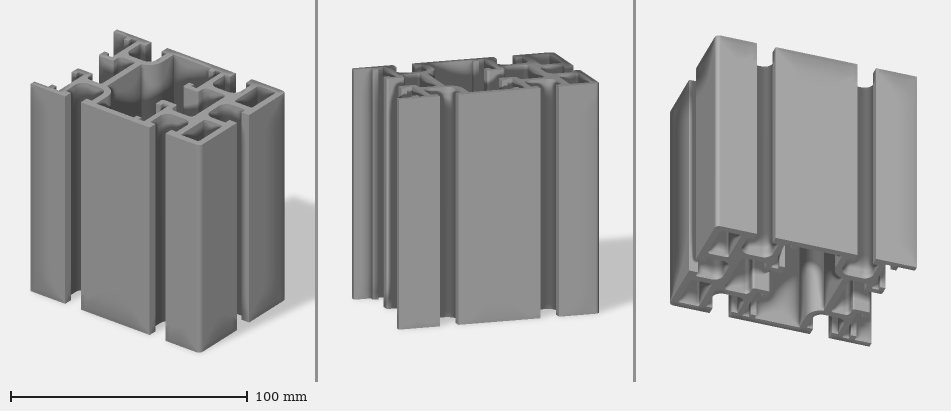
import cadquery as cq
import math

LENGTH = 90.0
WIDTH = 60.0
HEIGHT = 100.0
HALF_WIDTH = WIDTH / 2
LEFT_END = -LENGTH / 2
CORNER_RADIUS = 2.0

WALL = 3.0
LEFT_FLANGE = 2.5
CLIP_WALL = 2.5

MODULE = LENGTH / 2
SLOT_OPENING = 8.4
SLOT_CAVITY = 14.0
SLOT_LIP = 4.0
SLOT_DEPTH = 15.0
SLOT_RADIUS = 4.0
SLOT_CENTER = LEFT_END + MODULE / 2

CLIP_REACH = 5.5
CLIP_LIP = 2.5
LIP_DEPTH = 5.0
LIP_TIP = HALF_WIDTH - LIP_DEPTH
HOOK_TIP = 11.5
HOOK_OUTER = 7.0
HOOK_INNER = HOOK_OUTER + CLIP_WALL
HOOK_RADIUS = 1.0
LEFT_HEEL_RADIUS = 0.7
POCKET_RADIUS = 2.0
LEFT_FLOOR_RADIUS = 1.0

WEB_FACE = HALF_WIDTH - SLOT_DEPTH - WALL
SLOT_WALL_OUTER = SLOT_CAVITY / 2 + WALL
CENTER_WEB_OFFSET = 23.8
CENTER_WEB_LEFT = LEFT_END + CENTER_WEB_OFFSET
RIGHT_WEB_LEFT = -LEFT_END - SLOT_DEPTH - WALL

BOX_LEFT = SLOT_CENTER + MODULE + SLOT_WALL_OUTER
BOX_RIGHT = -LEFT_END - WALL
BOX_INNER = SLOT_WALL_OUTER
BOX_OUTER = HALF_WIDTH - WALL
BOX_RADIUS = 1.0


def extrude_mirrored(outline):
    """Extrude a half outline ending on Y = 0 together with its mirror image."""
    half = outline.close().extrude(HEIGHT)
    return half.union(half.mirror("XZ"))


def round_pair(solid, x, y, radius):
    """Round the upright edge at the given corner and its mirror image in Y."""
    for corner_y in (y, -y):
        edge = cq.NearestToPointSelector((x, corner_y, HEIGHT / 2))
        solid = solid.edges("|Z").edges(edge).fillet(radius)
    return solid


def t_slot(distance_to_face):
    """T-slot centred on X = 0 that opens toward +Y at the given distance."""
    floor = distance_to_face - SLOT_DEPTH
    cavity_depth = SLOT_DEPTH - SLOT_LIP
    cavity = (
        cq.Workplane("XY")
        .center(0, floor + cavity_depth / 2)
        .rect(SLOT_CAVITY, cavity_depth)
        .extrude(HEIGHT)
        .edges("|Z and <Y")
        .fillet(SLOT_RADIUS)
    )
    opening = (
        cq.Workplane("XY")
        .center(0, distance_to_face - SLOT_LIP / 2)
        .rect(SLOT_OPENING, SLOT_LIP)
        .extrude(HEIGHT)
    )
    return cavity.union(opening)


def clip_recess(outline, slot_center, flange, floor, heel_radius, floor_radius):
    """Finish a recess outline along one clip channel, its hook and the pocket behind it.

    The outline must stand on the inner flange face at the given flange thickness.
    The heel is the hook corner next to the pocket, and the floor is the far pocket wall.
    """
    flange_face = HALF_WIDTH - flange
    pocket_side = slot_center - SLOT_CAVITY / 2
    channel_end = pocket_side - CLIP_WALL
    lip_start = channel_end - CLIP_REACH
    lip_end = lip_start + CLIP_LIP
    outline = (
        outline.lineTo(lip_start, flange_face)
        .lineTo(lip_start, LIP_TIP)
        .lineTo(lip_end, LIP_TIP)
        .lineTo(lip_end, flange_face)
        .lineTo(channel_end, flange_face)
        .lineTo(channel_end, HOOK_INNER)
        .lineTo(lip_end, HOOK_INNER)
        .lineTo(lip_end, HOOK_TIP)
        .lineTo(lip_start, HOOK_TIP)
        .lineTo(lip_start, HOOK_OUTER)
        .lineTo(pocket_side, HOOK_OUTER)
        .lineTo(pocket_side, WEB_FACE)
        .lineTo(floor, WEB_FACE)
        .lineTo(floor, 0)
    )
    recess = extrude_mirrored(outline)
    recess = round_pair(recess, lip_start, HOOK_OUTER, HOOK_RADIUS)
    recess = round_pair(recess, pocket_side, HOOK_OUTER, heel_radius)
    recess = round_pair(recess, pocket_side, WEB_FACE, POCKET_RADIUS)
    return round_pair(recess, floor, WEB_FACE, floor_radius)


def left_recess():
    """Recess open to the left end, ending at the centre web."""
    outline = (
        cq.Workplane("XY")
        .moveTo(LEFT_END, 0)
        .lineTo(LEFT_END, HALF_WIDTH - LEFT_FLANGE)
    )
    return clip_recess(
        outline,
        slot_center=SLOT_CENTER,
        flange=LEFT_FLANGE,
        floor=CENTER_WEB_LEFT,
        heel_radius=LEFT_HEEL_RADIUS,
        floor_radius=LEFT_FLOOR_RADIUS,
    )


def main_chamber():
    """Closed chamber from the centre web to the right web."""
    left = CENTER_WEB_LEFT + WALL
    slot_side = SLOT_CENTER + SLOT_WALL_OUTER
    bend_radius = SLOT_RADIUS + WALL
    bend_x = slot_side - bend_radius
    bend_y = WEB_FACE + bend_radius
    bend_start_y = bend_y - math.sqrt(bend_radius**2 - (left - bend_x) ** 2)
    bend_offset = bend_radius * math.sqrt(0.5)
    outline = (
        cq.Workplane("XY")
        .moveTo(left, 0)
        .lineTo(left, bend_start_y)
        .threePointArc((bend_x + bend_offset, bend_y - bend_offset), (slot_side, bend_y))
        .lineTo(slot_side, HALF_WIDTH - WALL)
    )
    return clip_recess(
        outline,
        slot_center=SLOT_CENTER + MODULE,
        flange=WALL,
        floor=RIGHT_WEB_LEFT,
        heel_radius=HOOK_RADIUS,
        floor_radius=POCKET_RADIUS,
    )


def box_chambers():
    """Two closed rectangular chambers on either side of the right end slot."""
    center_x = (BOX_LEFT + BOX_RIGHT) / 2
    center_y = (BOX_INNER + BOX_OUTER) / 2
    return (
        cq.Workplane("XY")
        .pushPoints([(center_x, center_y), (center_x, -center_y)])
        .rect(BOX_RIGHT - BOX_LEFT, BOX_OUTER - BOX_INNER)
        .extrude(HEIGHT)
        .edges("|Z")
        .fillet(BOX_RADIUS)
    )


profile = (
    cq.Workplane("XY")
    .rect(LENGTH, WIDTH)
    .extrude(HEIGHT)
    .edges("|Z and >X")
    .fillet(CORNER_RADIUS)
)
profile = profile.cut(left_recess()).cut(main_chamber()).cut(box_chambers())

side_slot = t_slot(HALF_WIDTH)
for slot_x in (SLOT_CENTER, SLOT_CENTER + MODULE):
    upper_slot = side_slot.translate((slot_x, 0, 0))
    profile = profile.cut(upper_slot).cut(upper_slot.mirror("XZ"))

end_slot = t_slot(LENGTH / 2).rotate((0, 0, 0), (0, 0, 1), -90)
result = profile.cut(end_slot)